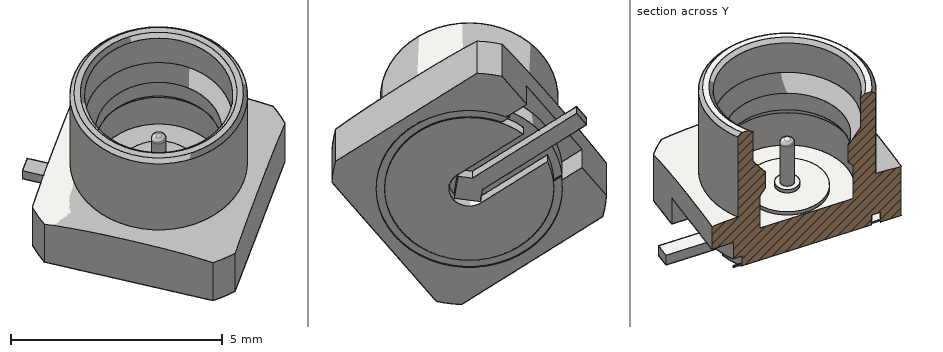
import cadquery as cq
import math


BASE_WIDTH = 5.0
CORNER_RADIUS = 3.25
SHOULDER_HEIGHT = 1.55
DOME_ARC_RADIUS = 5.6
DOME_CREST_RADIUS = 2.0

SHELL_RADIUS = 4.2 / 2
SHELL_TOP = 4.1
RIM_CHAMFER = 0.1
MOUTH_RADIUS = 3.5 / 2
THROAT_RADIUS = 3.0 / 2
CHAMBER_RADIUS = 3.2 / 2
MOUTH_BOTTOM = 3.1
THROAT_BOTTOM = 2.16
CONE_ANGLE = math.radians(30)

FLOOR_HEIGHT = 1.0
STEP_HEIGHT = 0.1
INSULATOR_RADIUS = 2.0 / 2
COLLAR_RADIUS = 0.6 / 2
PIN_RADIUS = 0.35 / 2
PIN_TOP = 2.5
PIN_ROUNDING = 0.1

HUB_RADIUS = 2.0
GROOVE_RADIUS = 2.2
GROOVE_DEPTH = 0.3
WINDOW_WIDTH = 2.2
WINDOW_HEIGHT = 0.8
LEDGE_BOTTOM = 0.04
LEDGE_TOP = 0.1
LEDGE_GAP = 2.06
NOTCH_WIDTH = 0.96

TAIL_REACH = 3.3
TAIL_WIDTH = 0.4
TAIL_HEIGHT = GROOVE_DEPTH
TAIL_HEAD_WIDTH = 0.88


def cylinder(radius, bottom, top):
    return cq.Workplane("XY").workplane(offset=bottom).circle(radius).extrude(top - bottom)


def box_toward_tail(far, near, width, bottom, top):
    """Box centred on Y that runs from X = -far to X = -near."""
    return cq.Workplane("XY").box(
        far - near, width, top - bottom, centered=(False, True, False)
    ).translate((-far, 0, bottom))


def dome_height(radius):
    def drop(r):
        return DOME_ARC_RADIUS - math.sqrt(DOME_ARC_RADIUS**2 - (r - DOME_CREST_RADIUS) ** 2)

    return SHOULDER_HEIGHT + drop(SHELL_RADIUS) - drop(radius)


def make_outside():
    """Turned outside of base and shell, with the base cut square."""
    dome_middle = (SHELL_RADIUS + CORNER_RADIUS) / 2
    turned = (
        cq.Workplane("XZ")
        .moveTo(0, 0)
        .lineTo(CORNER_RADIUS, 0)
        .lineTo(CORNER_RADIUS, dome_height(CORNER_RADIUS))
        .threePointArc((dome_middle, dome_height(dome_middle)), (SHELL_RADIUS, SHOULDER_HEIGHT))
        .lineTo(SHELL_RADIUS, SHELL_TOP - RIM_CHAMFER)
        .lineTo(SHELL_RADIUS - RIM_CHAMFER, SHELL_TOP)
        .lineTo(0, SHELL_TOP)
        .close()
        .revolve(360, (0, 0, 0), (0, 1, 0))
    )
    square = cq.Workplane("XY").box(BASE_WIDTH, BASE_WIDTH, SHELL_TOP, centered=(True, True, False))
    return turned.intersect(square)


def make_bore():
    """Stepped socket: mouth, cone, throat, cone and wider chamber."""
    throat_top = MOUTH_BOTTOM - (MOUTH_RADIUS - THROAT_RADIUS) / math.tan(CONE_ANGLE)
    chamber_top = THROAT_BOTTOM - (CHAMBER_RADIUS - THROAT_RADIUS) / math.tan(CONE_ANGLE)
    return (
        cq.Workplane("XZ")
        .moveTo(0, FLOOR_HEIGHT)
        .lineTo(CHAMBER_RADIUS, FLOOR_HEIGHT)
        .lineTo(CHAMBER_RADIUS, chamber_top)
        .lineTo(THROAT_RADIUS, THROAT_BOTTOM)
        .lineTo(THROAT_RADIUS, throat_top)
        .lineTo(MOUTH_RADIUS, MOUTH_BOTTOM)
        .lineTo(MOUTH_RADIUS, SHELL_TOP - RIM_CHAMFER)
        .lineTo(MOUTH_RADIUS + RIM_CHAMFER, SHELL_TOP)
        .lineTo(0, SHELL_TOP)
        .close()
        .revolve(360, (0, 0, 0), (0, 1, 0))
    )


def make_contact():
    """Insulator disc, pin collar and round-tipped pin on the chamber floor."""
    insulator_top = FLOOR_HEIGHT + STEP_HEIGHT
    insulator = cylinder(INSULATOR_RADIUS, FLOOR_HEIGHT, insulator_top)
    collar = cylinder(COLLAR_RADIUS, FLOOR_HEIGHT, insulator_top + STEP_HEIGHT)
    pin = cylinder(PIN_RADIUS, FLOOR_HEIGHT, PIN_TOP).faces(">Z").edges().fillet(PIN_ROUNDING)
    return insulator.union(collar).union(pin)


def make_groove():
    """Ring groove around the hub, crossed by a thin ledge that is open toward the window."""
    groove = cylinder(GROOVE_RADIUS, 0, GROOVE_DEPTH).cut(cylinder(HUB_RADIUS, 0, GROOVE_DEPTH))
    ledge = cylinder(GROOVE_RADIUS, LEDGE_BOTTOM, LEDGE_TOP)
    ledge = ledge.cut(box_toward_tail(GROOVE_RADIUS, 0, LEDGE_GAP, LEDGE_BOTTOM, LEDGE_TOP))
    return groove.cut(ledge)


def make_window():
    """Opening in the -X wall, ending at a round wall."""
    opening = box_toward_tail(BASE_WIDTH / 2, 0, WINDOW_WIDTH, 0, WINDOW_HEIGHT)
    return opening.cut(cylinder(GROOVE_RADIUS, 0, WINDOW_HEIGHT))


def make_notch():
    """Round-ended channel in the hub that clears the tail and its head."""
    channel = box_toward_tail(HUB_RADIUS, 0, NOTCH_WIDTH, 0, GROOVE_DEPTH)
    return channel.union(cylinder(NOTCH_WIDTH / 2, 0, GROOVE_DEPTH))


def make_tail():
    """Flat solder tail with a square head, set cornerwise, below the pin."""
    strip = box_toward_tail(TAIL_REACH, 0, TAIL_WIDTH, 0, TAIL_HEIGHT)
    head = cq.Workplane("XY").polygon(4, TAIL_HEAD_WIDTH).extrude(TAIL_HEIGHT)
    return strip.union(head)


result = (
    make_outside()
    .cut(make_bore())
    .cut(make_window())
    .cut(make_groove())
    .cut(make_notch())
    .union(make_contact())
    .union(make_tail())
)